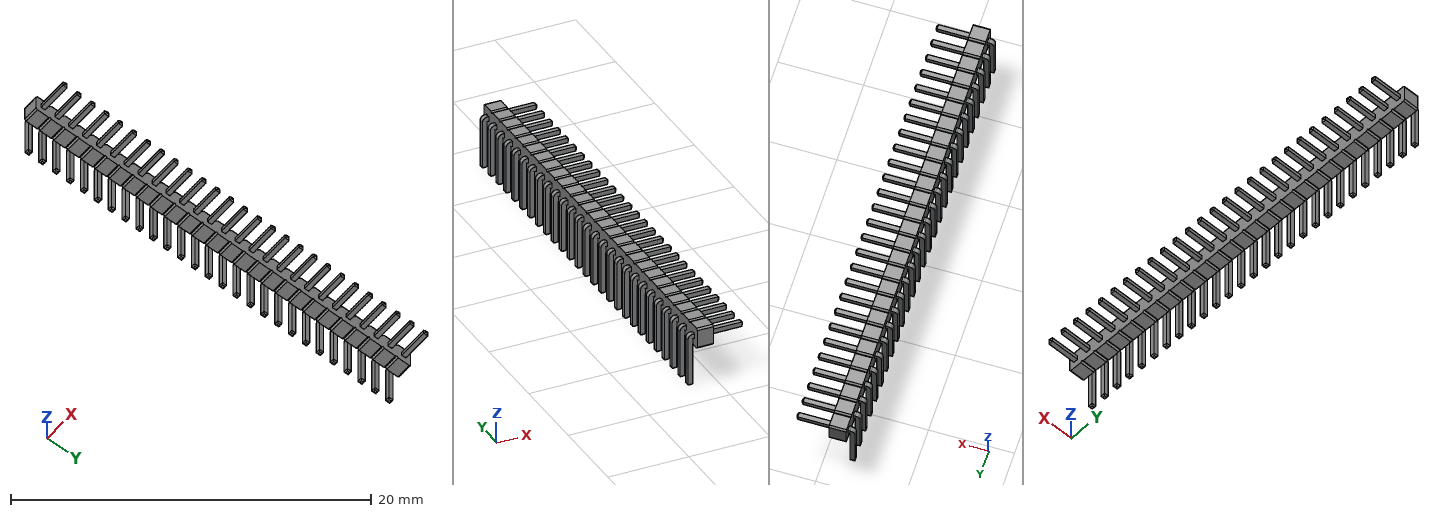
import cadquery as cq


pin_count = 27
strip_length = 27.0
pitch = strip_length / pin_count
housing_depth = 1.0
housing_height = 1.3
notch_half_width = 0.1
notch_depth = 0.1

pin_width = 0.3
pin_reach = 3.4
part_height = 3.78
housing_gap = 0.4
tip_length = 0.08
tip_inset = 0.075

housing_top = housing_height / 2
leg_bottom = housing_top - part_height
half_pin = pin_width / 2


def make_cell(y_centre):
    """One housing cell, with its four edges along X chamfered."""
    half_pitch = pitch / 2
    flat = half_pitch - notch_half_width
    shoulder = housing_top - notch_depth
    outline = [
        (-half_pitch, -shoulder),
        (-flat, -housing_top),
        (flat, -housing_top),
        (half_pitch, -shoulder),
        (half_pitch, shoulder),
        (flat, housing_top),
        (-flat, housing_top),
        (-half_pitch, shoulder),
    ]
    return (
        cq.Workplane("YZ", origin=(housing_gap, y_centre, 0))
        .polyline(outline)
        .close()
        .extrude(housing_depth)
    )


def make_tip(base_plane):
    """A square pyramid frustum that narrows along the normal of its base plane."""
    tip_width = pin_width - 2 * tip_inset
    return (
        cq.Workplane(base_plane)
        .rect(pin_width, pin_width)
        .workplane(offset=tip_length)
        .rect(tip_width, tip_width)
        .loft(ruled=True)
    )


def make_pin(y_centre):
    """One square pin: a leg going down, a rounded outer bend and a contact along +X."""
    contact_end = pin_reach - tip_length
    leg_end = leg_bottom + tip_length
    bend_offset = pin_width * 0.5**0.5
    bend_middle = (pin_width - bend_offset, -half_pin + bend_offset)
    bar = (
        cq.Workplane("XZ", origin=(0, y_centre + half_pin, 0))
        .moveTo(0, leg_end)
        .lineTo(0, -half_pin)
        .threePointArc(bend_middle, (pin_width, half_pin))
        .lineTo(contact_end, half_pin)
        .lineTo(contact_end, -half_pin)
        .lineTo(pin_width, -half_pin)
        .lineTo(pin_width, leg_end)
        .close()
        .extrude(pin_width)
    )
    contact_tip = make_tip(cq.Plane((contact_end, y_centre, 0), (0, 1, 0), (1, 0, 0)))
    leg_tip = make_tip(cq.Plane((half_pin, y_centre, leg_end), (1, 0, 0), (0, 0, -1)))
    return bar.union(contact_tip).union(leg_tip)


cells = []
for index in range(pin_count):
    y_position = (index - (pin_count - 1) / 2) * pitch
    cells.append(make_cell(y_position).union(make_pin(y_position)))

result = cells[0]
for cell in cells[1:]:
    result = result.union(cell)